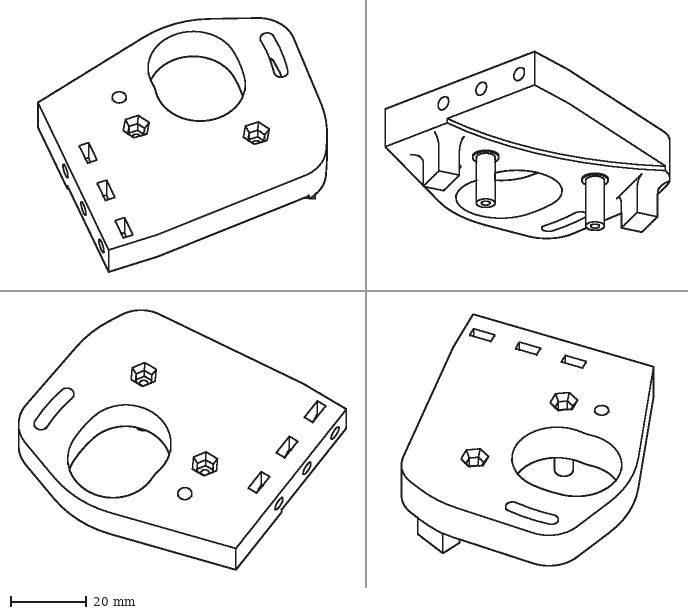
import cadquery as cq
import math


PLATE_THICKNESS = 11.3
THIN_THICKNESS = 10.0
BOTTOM_Y = -20.75
RIGHT_X = 45.75
OUTLINE_CORNERS = [
    (-6.27, BOTTOM_Y, 0),
    (RIGHT_X, BOTTOM_Y, 0),
    (RIGHT_X, -6.9, 0),
    (41.27, 42.6, 10.0),
    (27.13, 49.06, 30.0),
    (-8.58, 50.61, 10.0),
    (-18.77, 22.47, 30.0),
]

SCREW_HOLE_DIAMETER = 3.7
MOTOR_HOLE_PITCH = 31.0
SLOT_RADIUS = MOTOR_HOLE_PITCH * math.sqrt(2)
MOTOR_RADIUS = SLOT_RADIUS / 2
MOTOR_OPENING_WIDTH = 24.0
SWING_LEFT = 5.0
SWING_RIGHT = 10.0

FAN_CENTER = (17.34, 15.24)
FAN_LINE_ANGLE = 65.0
PIN_SPACING = 32.0
PIN_DIAMETER = 5.0
PIN_LENGTH = 14.0
PIN_COLLAR_DIAMETER = 7.0
PIN_COLLAR_HEIGHT = 0.4
PIN_BORE = 2.3
HEX_MOUTH_FLATS = 6.4
HEX_FLATS = 4.2
HEX_TAPER_DEPTH = 2.0
HEX_DEPTH = 5.0
BLOCK_GAP = 52.0
BLOCK_DEPTH = 6.0
BLOCK_WIDTH = 10.0
BLOCK_HEIGHT = 10.1
BLOCK_ROOT_RADIUS = 3.0

RECESS_START = (15.35, BOTTOM_Y)
RECESS_END = (41.6, 38.0)
RECESS_BULGE = 5.8
RECESS_OVERHANG = 10.0

EDGE_HOLE_COUNT = 3
EDGE_HOLE_FIRST_X = 14.0
EDGE_HOLE_PITCH = 13.2
EDGE_HOLE_Z = -5.0
NUT_FLATS = 6.1
NUT_SLOT_WIDTH = 2.7
NUT_SLOT_INSET = 5.1


def hex_diameter(flats):
    """Corner-to-corner size of a hexagon from its size across flats."""
    return flats / math.cos(math.radians(30))


def swing_point(radius, degrees):
    """Point at a radius from the pivot, turned clockwise from +Y."""
    angle = math.radians(degrees)
    return (radius * math.sin(angle), radius * math.cos(angle))


def make_outline_prism(depth):
    """Plate outline with rounded corners, extruded down from the top face."""
    points = [(x, y) for x, y, _ in OUTLINE_CORNERS]
    prism = cq.Workplane("XY").polyline(points).close().extrude(-depth)
    for x, y, radius in OUTLINE_CORNERS:
        if radius > 0:
            corner = cq.selectors.NearestToPointSelector((x, y, -depth / 2))
            prism = prism.edges("|Z").edges(corner).fillet(radius)
    return prism


def make_recess():
    """Cutter for the thin area between the curved wall and the right edge."""
    chord_x = RECESS_END[0] - RECESS_START[0]
    chord_y = RECESS_END[1] - RECESS_START[1]
    chord = math.hypot(chord_x, chord_y)
    arc_middle = (
        (RECESS_START[0] + RECESS_END[0]) / 2 - RECESS_BULGE * chord_y / chord,
        (RECESS_START[1] + RECESS_END[1]) / 2 + RECESS_BULGE * chord_x / chord,
    )
    outer_x = RIGHT_X + RECESS_OVERHANG
    return (
        cq.Workplane("XY", origin=(0, 0, -PLATE_THICKNESS))
        .moveTo(*RECESS_START)
        .threePointArc(arc_middle, RECESS_END)
        .lineTo(outer_x, RECESS_END[1])
        .lineTo(outer_x, BOTTOM_Y)
        .close()
        .extrude(PLATE_THICKNESS - THIN_THICKNESS)
    )


def make_curved_slot(radius, width):
    """Through cutter: a round-ended slot whose middle line swings about the pivot."""
    inner = radius - width / 2
    outer = radius + width / 2
    middle = (SWING_RIGHT - SWING_LEFT) / 2

    def end_cap_middle(angle, side):
        center = swing_point(radius, angle)
        outward = swing_point(width / 2, angle + side * 90)
        return (center[0] + outward[0], center[1] + outward[1])

    return (
        cq.Workplane("XY")
        .moveTo(*swing_point(inner, -SWING_LEFT))
        .threePointArc(swing_point(inner, middle), swing_point(inner, SWING_RIGHT))
        .threePointArc(end_cap_middle(SWING_RIGHT, 1), swing_point(outer, SWING_RIGHT))
        .threePointArc(swing_point(outer, middle), swing_point(outer, -SWING_LEFT))
        .threePointArc(end_cap_middle(-SWING_LEFT, -1), swing_point(inner, -SWING_LEFT))
        .close()
        .extrude(-PLATE_THICKNESS)
    )


def pin_centers():
    angle = math.radians(FAN_LINE_ANGLE)
    reach = PIN_SPACING / 2
    return [
        (
            FAN_CENTER[0] + side * reach * math.cos(angle),
            FAN_CENTER[1] + side * reach * math.sin(angle),
        )
        for side in (-1, 1)
    ]


def make_pins():
    underside = cq.Workplane("XY", origin=(0, 0, -PLATE_THICKNESS)).pushPoints(pin_centers())
    pins = underside.circle(PIN_DIAMETER / 2).extrude(-PIN_LENGTH)
    return pins.union(underside.circle(PIN_COLLAR_DIAMETER / 2).extrude(-PIN_COLLAR_HEIGHT))


def make_pin_bore(center):
    """Cutter for one pin: tapered hexagon mouth, straight hexagon, then a through bore."""
    def upright_hexagon(workplane, flats):
        return workplane.transformed(rotate=(0, 0, 30)).polygon(6, hex_diameter(flats))

    top = cq.Workplane("XY", origin=(*center, 0))
    mouth = (
        upright_hexagon(top, HEX_MOUTH_FLATS)
        .workplane(offset=-HEX_TAPER_DEPTH)
        .polygon(6, hex_diameter(HEX_FLATS))
        .loft(ruled=True)
    )
    pocket = upright_hexagon(top, HEX_FLATS).extrude(-HEX_DEPTH)
    bore = top.circle(PIN_BORE / 2).extrude(-(PLATE_THICKNESS + PIN_LENGTH))
    return mouth.union(pocket).union(bore)


def make_block(direction):
    """Block at one end of the fan line; three sides flare into the plate, the fan side is flat."""
    half_width = BLOCK_WIDTH / 2
    flare_z = -BLOCK_ROOT_RADIUS
    arc_offset = BLOCK_ROOT_RADIUS * (1 - math.sqrt(0.5))
    flare_width = half_width + BLOCK_ROOT_RADIUS
    flare_depth = BLOCK_DEPTH + BLOCK_ROOT_RADIUS
    across = (
        cq.Workplane("YZ")
        .moveTo(-flare_width, 0)
        .threePointArc((-half_width - arc_offset, -arc_offset), (-half_width, flare_z))
        .lineTo(-half_width, -BLOCK_HEIGHT)
        .lineTo(half_width, -BLOCK_HEIGHT)
        .lineTo(half_width, flare_z)
        .threePointArc((half_width + arc_offset, -arc_offset), (flare_width, 0))
        .close()
        .extrude(flare_depth)
    )
    along = (
        cq.Workplane("XZ")
        .lineTo(0, -BLOCK_HEIGHT)
        .lineTo(BLOCK_DEPTH, -BLOCK_HEIGHT)
        .lineTo(BLOCK_DEPTH, flare_z)
        .threePointArc((BLOCK_DEPTH + arc_offset, -arc_offset), (flare_depth, 0))
        .close()
        .extrude(flare_width, both=True)
    )
    return (
        across.intersect(along)
        .translate((BLOCK_GAP / 2, 0, 0))
        .rotate((0, 0, 0), (0, 0, 1), direction)
        .translate((*FAN_CENTER, -PLATE_THICKNESS))
    )


def make_edge_screw(x):
    """Cutter for one edge screw: round hole ending in a nut slot with a V-shaped floor."""
    slot_front = BOTTOM_Y + NUT_SLOT_INSET
    hole_depth = NUT_SLOT_INSET + NUT_SLOT_WIDTH
    hole = (
        cq.Workplane("XZ", origin=(x, BOTTOM_Y, EDGE_HOLE_Z))
        .circle(SCREW_HOLE_DIAMETER / 2)
        .extrude(-hole_depth)
    )
    half = NUT_FLATS / 2
    corner = hex_diameter(NUT_FLATS) / 2
    slot = (
        cq.Workplane("XZ", origin=(x, slot_front, 0))
        .moveTo(-half, 0)
        .lineTo(-half, EDGE_HOLE_Z - corner / 2)
        .lineTo(0, EDGE_HOLE_Z - corner)
        .lineTo(half, EDGE_HOLE_Z - corner / 2)
        .lineTo(half, 0)
        .close()
        .extrude(-NUT_SLOT_WIDTH)
    )
    return hole.union(slot)


result = make_outline_prism(PLATE_THICKNESS).cut(make_recess())
result = result.union(make_pins())
block_limit = make_outline_prism(PLATE_THICKNESS + BLOCK_HEIGHT)
for block_direction in (FAN_LINE_ANGLE, FAN_LINE_ANGLE + 180):
    result = result.union(make_block(block_direction).intersect(block_limit))

result = result.cut(make_curved_slot(SLOT_RADIUS, SCREW_HOLE_DIAMETER))
result = result.cut(make_curved_slot(MOTOR_RADIUS, MOTOR_OPENING_WIDTH))
result = result.cut(cq.Workplane("XY").circle(SCREW_HOLE_DIAMETER / 2).extrude(-PLATE_THICKNESS))
for pin_center in pin_centers():
    result = result.cut(make_pin_bore(pin_center))
for index in range(EDGE_HOLE_COUNT):
    result = result.cut(make_edge_screw(EDGE_HOLE_FIRST_X + index * EDGE_HOLE_PITCH))